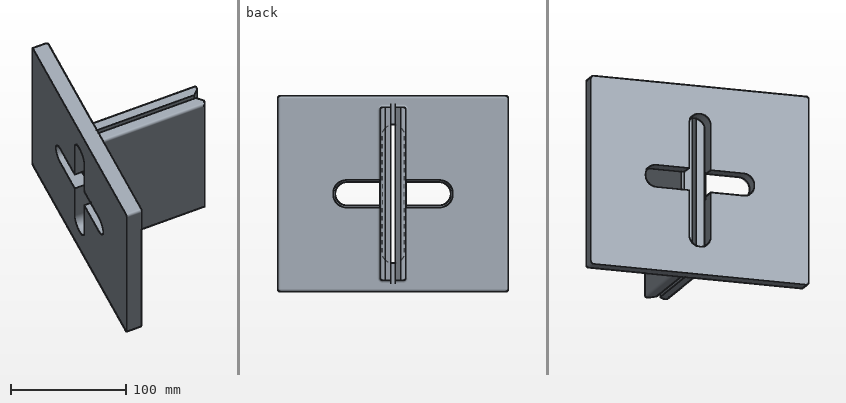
import cadquery as cq

plate_width = 200.0
plate_height = 170.0
plate_thickness = 15.0
edge_radius = 2.5

slot_width = 20.0
upright_slot_length = 120.0
level_slot_length = 100.0

wall_depth = 100.0
wall_height = 150.0
wall_thickness = 9.5
wall_gap = 3.5
lead_in = 5.0
foot_radius = 2.5
bevel_size = 2.0

wall_outer_x = wall_gap / 2 + wall_thickness
wall_end_y = plate_thickness + wall_depth


def make_plate():
    """Plate with rounded corners and a rounded back rim."""
    plate = cq.Workplane("XY").box(
        plate_width, plate_thickness, plate_height, centered=(True, False, True)
    )
    return plate.edges("|Y").fillet(edge_radius).faces(">Y").edges().fillet(edge_radius)


def make_wall_pair():
    """One rounded block on the plate, divided into two walls by the gap."""
    block = (
        cq.Workplane("XY")
        .box(2 * wall_outer_x, wall_depth, wall_height, centered=(True, False, True))
        .translate((0, plate_thickness, 0))
    )
    rounded_end = block.faces(">Y").edges("|Z").fillet(edge_radius)
    return block.edges("|Y").fillet(edge_radius).intersect(rounded_end)


def add_foot_fillet(body):
    """Blend the foot of the wall block into the back of the plate."""
    margin = edge_radius
    tolerance = 0.2
    foot_edges = cq.selectors.BoxSelector(
        (-wall_outer_x - margin, plate_thickness - tolerance, -wall_height / 2 - margin),
        (wall_outer_x + margin, plate_thickness + tolerance, wall_height / 2 + margin),
    )
    return body.edges(foot_edges).fillet(foot_radius)


def make_gap():
    """Full-height gap between the walls, flared at the free end."""
    half_gap = wall_gap / 2
    flare = half_gap + lead_in
    return (
        cq.Workplane("XY")
        .polyline([
            (-half_gap, plate_thickness),
            (half_gap, plate_thickness),
            (half_gap, wall_end_y - lead_in),
            (flare, wall_end_y),
            (-flare, wall_end_y),
            (-half_gap, wall_end_y - lead_in),
        ])
        .close()
        .extrude(plate_height / 2, both=True)
    )


def make_slot(length, angle, depth):
    """Round-ended cutter reaching back from the front face."""
    return cq.Workplane("XZ").slot2D(length, slot_width, angle).extrude(-depth)


def make_bevel(side):
    """Full-height cutter along the outer front edge of one wall."""
    inner_x = wall_outer_x - bevel_size
    outer_x = wall_outer_x + 2 * foot_radius
    bevel_back = plate_thickness + bevel_size
    return (
        cq.Workplane("XY")
        .polyline([
            (side * inner_x, plate_thickness),
            (side * wall_outer_x, bevel_back),
            (side * outer_x, bevel_back),
            (side * outer_x, plate_thickness),
        ])
        .close()
        .extrude(plate_height / 2, both=True)
    )


def make_bevel_zone():
    """Space where the wall edges lie over the slots and the level slot's bevelled rim."""
    level_zone = cq.Workplane("XY").box(
        level_slot_length, plate_thickness + bevel_size, slot_width + 2 * bevel_size,
        centered=(True, False, True),
    )
    upright_zone = make_slot(upright_slot_length, 90, plate_thickness + bevel_size)
    return level_zone.union(upright_zone)


def make_rim_bevel():
    """Cutter for the bevel around the back rim of the level slot."""
    return (
        cq.Workplane("XZ", origin=(0, plate_thickness, 0))
        .slot2D(level_slot_length + 2 * bevel_size, slot_width + 2 * bevel_size)
        .extrude(bevel_size, taper=45)
    )


result = add_foot_fillet(make_plate().union(make_wall_pair()))
result = result.cut(make_gap())
result = result.cut(make_slot(upright_slot_length, 90, plate_thickness))
result = result.cut(make_slot(level_slot_length, 0, plate_thickness))
for side in (-1, 1):
    result = result.cut(make_bevel(side).intersect(make_bevel_zone()))
result = result.cut(make_rim_bevel())